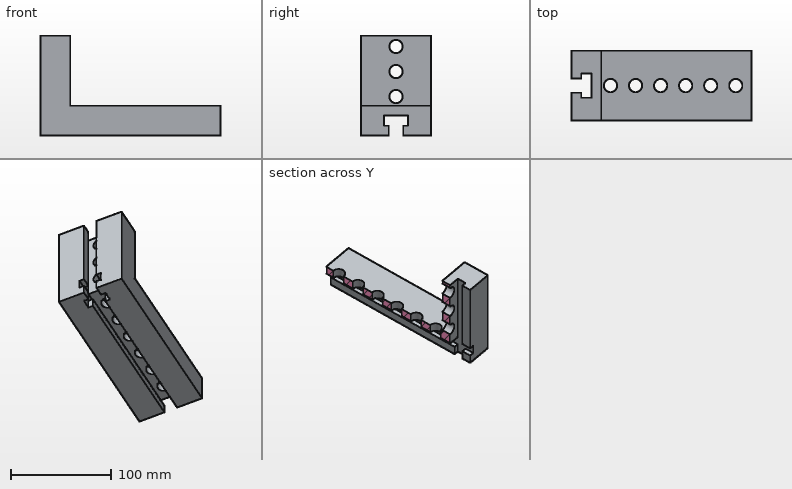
import cadquery as cq

length = 180.0
width = 70.0
height = 100.0
leg_thickness = 30.0

slot_neck_width = 14.0
slot_head_width = 24.0
slot_neck_depth = 10.0
slot_depth = 20.0

hole_diameter = 13.0
hole_pitch = 25.0
first_hole_offset = 39.0
base_hole_count = 6
upright_hole_count = 3


def box_from_corner(size_x, size_y, size_z):
    """Box starting at X = 0 and Z = 0, centred on Y."""
    return cq.Workplane("XY").box(size_x, size_y, size_z, centered=(False, True, False))


def hole_offsets(count):
    """Distances of the hole centres from the outer corner."""
    return [first_hole_offset + i * hole_pitch for i in range(count)]


def t_slot(plane, run):
    """T-slot opening at local Y = 0, extruded along the plane normal."""
    neck_half = slot_neck_width / 2
    head_half = slot_head_width / 2
    return (
        cq.Workplane(plane)
        .moveTo(-neck_half, 0)
        .lineTo(-neck_half, slot_neck_depth)
        .lineTo(-head_half, slot_neck_depth)
        .lineTo(-head_half, slot_depth)
        .lineTo(head_half, slot_depth)
        .lineTo(head_half, slot_neck_depth)
        .lineTo(neck_half, slot_neck_depth)
        .lineTo(neck_half, 0)
        .close()
        .extrude(run)
    )


base = box_from_corner(length, width, leg_thickness)
upright = box_from_corner(leg_thickness, width, height)
body = base.union(upright)

base_slot = t_slot("YZ", length)
upright_slot_plane = cq.Plane(origin=(0, 0, 0), xDir=(0, -1, 0), normal=(0, 0, 1))
upright_slot = t_slot(upright_slot_plane, height)

base_holes = (
    cq.Workplane("XY")
    .pushPoints([(x, 0) for x in hole_offsets(base_hole_count)])
    .circle(hole_diameter / 2)
    .extrude(leg_thickness)
)
upright_holes = (
    cq.Workplane("YZ")
    .pushPoints([(0, z) for z in hole_offsets(upright_hole_count)])
    .circle(hole_diameter / 2)
    .extrude(leg_thickness)
)

result = body.cut(base_slot).cut(upright_slot).cut(base_holes).cut(upright_holes)